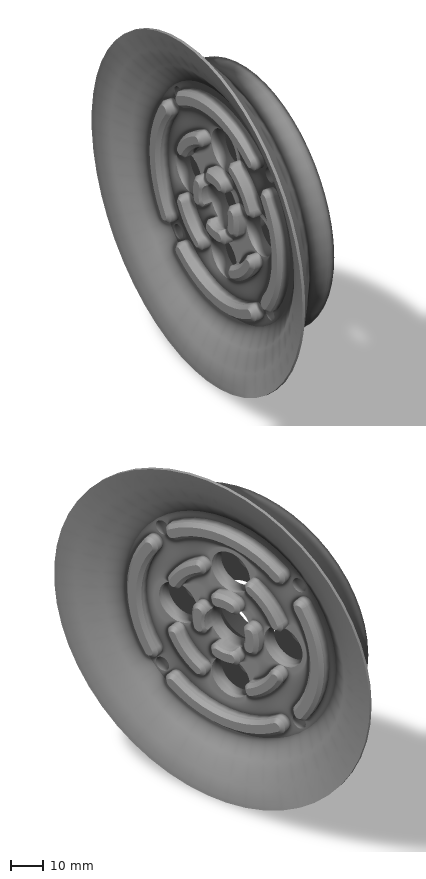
import cadquery as cq
import math


REPEATS = 4
PITCH_ANGLE = 360 / REPEATS

MOUTH_RADIUS = 60.0
RIM_BAND = 1.0
BODY_RADIUS = 44.5
BODY_BACK = 23.5
BODY_EDGE_ROUND = 4.0
LIP_FOOT_HEIGHT = 13.1
LIP_FOOT_ROUND = 4.0
BOSS_RADIUS = 29.5
BOSS_HEIGHT = 1.5
BOSS_EDGE_ROUND = BOSS_HEIGHT

FLOOR_RADIUS = 40.0
FLOOR_DEPTH = 10.0
LIP_FLARE_RADIUS = 60.0

FRONT_PLATE_THICKNESS = 5.0
CAVITY_DEPTH = 4.0
CAVITY_RADIUS = FLOOR_RADIUS

CENTRE_FRONT_DIAMETER = 15.5
CENTRE_BACK_DIAMETER = 21.5
SCREW_CIRCLE_RADIUS = 20.0
SCREW_HOLE_DIAMETER = 8.0
SCREW_ACCESS_DIAMETER = 14.5
PIN_HOLE_DIAMETER = 5.0
PIN_HOLE_OFFSET = 26.0

RIB_HEIGHT = 4.0
RIB_EDGE_CHAMFER = 1.2
OUTER_RIBS = (34.75, 5.5, 35.0, 0.0)
MIDDLE_RIBS = (21.75, 5.0, 18.0, 45.0)
INNER_RIBS = (10.0, 5.5, 16.0, 0.0)

CAVITY_FRONT = FLOOR_DEPTH + FRONT_PLATE_THICKNESS
CAVITY_BACK = CAVITY_FRONT + CAVITY_DEPTH
OVERALL_DEPTH = BODY_BACK + BOSS_HEIGHT


def polar(radius, degrees):
    """Point at an angle from the +X axis, in the X-Z plane."""
    angle = math.radians(degrees)
    return radius * math.cos(angle), radius * math.sin(angle)


def plane_at(y):
    """Workplane parallel to X-Z at height y: local x is X, local y is Z, normal is -Y."""
    return cq.Workplane("XZ", origin=(0, y, 0))


def drill(start, end, diameter, points):
    """Cylinders along Y from height start to height end."""
    return plane_at(start).pushPoints(points).circle(diameter / 2).extrude(start - end)


def flare_midpoint():
    """Middle of the inner lip arc, which bulges toward the mouth and the axis."""
    run = MOUTH_RADIUS - FLOOR_RADIUS
    chord = math.hypot(run, FLOOR_DEPTH)
    sagitta = LIP_FLARE_RADIUS - math.sqrt(LIP_FLARE_RADIUS**2 - (chord / 2) ** 2)
    radius = (MOUTH_RADIUS + FLOOR_RADIUS) / 2 - sagitta * FLOOR_DEPTH / chord
    height = FLOOR_DEPTH / 2 - sagitta * run / chord
    return radius, height


def revolved_cup():
    """Cup shell with its lip, body and back boss."""
    lip_slope = math.atan2(MOUTH_RADIUS - BODY_RADIUS, LIP_FOOT_HEIGHT - RIM_BAND)
    tangent_length = LIP_FOOT_ROUND * math.tan(lip_slope / 2)
    body_round_start = (BODY_RADIUS, LIP_FOOT_HEIGHT + tangent_length)
    lip_round_end = (
        BODY_RADIUS + tangent_length * math.sin(lip_slope),
        LIP_FOOT_HEIGHT - tangent_length * math.cos(lip_slope),
    )
    profile = (
        cq.Workplane("XY")
        .moveTo(0, FLOOR_DEPTH)
        .lineTo(FLOOR_RADIUS, FLOOR_DEPTH)
        .threePointArc(flare_midpoint(), (MOUTH_RADIUS, 0))
        .lineTo(MOUTH_RADIUS, RIM_BAND)
        .lineTo(*lip_round_end)
        .radiusArc(body_round_start, LIP_FOOT_ROUND)
        .lineTo(BODY_RADIUS, BODY_BACK - BODY_EDGE_ROUND)
        .radiusArc((BODY_RADIUS - BODY_EDGE_ROUND, BODY_BACK), -BODY_EDGE_ROUND)
        .lineTo(BOSS_RADIUS, BODY_BACK)
        .radiusArc((BOSS_RADIUS - BOSS_EDGE_ROUND, OVERALL_DEPTH), -BOSS_EDGE_ROUND)
        .lineTo(0, OVERALL_DEPTH)
        .close()
    )
    return profile.revolve(360, (0, 0, 0), (0, 1, 0))


def rib(radius, width, half_sweep):
    """Arc-shaped rib with round ends, centred on +X and chamfered on its free edge."""
    inner = radius - width / 2
    outer = radius + width / 2
    outline = (
        plane_at(FLOOR_DEPTH)
        .moveTo(*polar(inner, -half_sweep))
        .threePointArc((inner, 0), polar(inner, half_sweep))
        .radiusArc(polar(outer, half_sweep), width / 2)
        .threePointArc((outer, 0), polar(outer, -half_sweep))
        .radiusArc(polar(inner, -half_sweep), width / 2)
        .close()
    )
    return outline.extrude(RIB_HEIGHT).faces("<Y").edges().chamfer(RIB_EDGE_CHAMFER)


def add_ribs(part, ribs):
    """Equal ribs spaced evenly around the axis."""
    radius, width, half_sweep, first_angle = ribs
    for index in range(REPEATS):
        angle = first_angle + index * PITCH_ANGLE
        part = part.union(rib(radius, width, half_sweep).rotate((0, 0, 0), (0, 1, 0), angle))
    return part


def cut_openings(part):
    """Inner cavity, and the openings that lead to it through the front plate and the back wall."""
    axis = [(0, 0)]
    screws = [polar(SCREW_CIRCLE_RADIUS, index * PITCH_ANGLE) for index in range(REPEATS)]
    pins = [(x * PIN_HOLE_OFFSET, z * PIN_HOLE_OFFSET) for x in (-1, 1) for z in (-1, 1)]
    part = part.cut(drill(CAVITY_FRONT, CAVITY_BACK, 2 * CAVITY_RADIUS, axis))
    part = part.cut(drill(0, CAVITY_FRONT, CENTRE_FRONT_DIAMETER, axis))
    part = part.cut(drill(FLOOR_DEPTH, CAVITY_FRONT, SCREW_ACCESS_DIAMETER, screws))
    part = part.cut(drill(FLOOR_DEPTH, CAVITY_FRONT, PIN_HOLE_DIAMETER, pins))
    part = part.cut(drill(CAVITY_BACK, OVERALL_DEPTH, CENTRE_BACK_DIAMETER, axis))
    return part.cut(drill(CAVITY_BACK, OVERALL_DEPTH, SCREW_HOLE_DIAMETER, screws))


cup = revolved_cup()
for rib_set in (OUTER_RIBS, MIDDLE_RIBS, INNER_RIBS):
    cup = add_ribs(cup, rib_set)

result = cut_openings(cup)